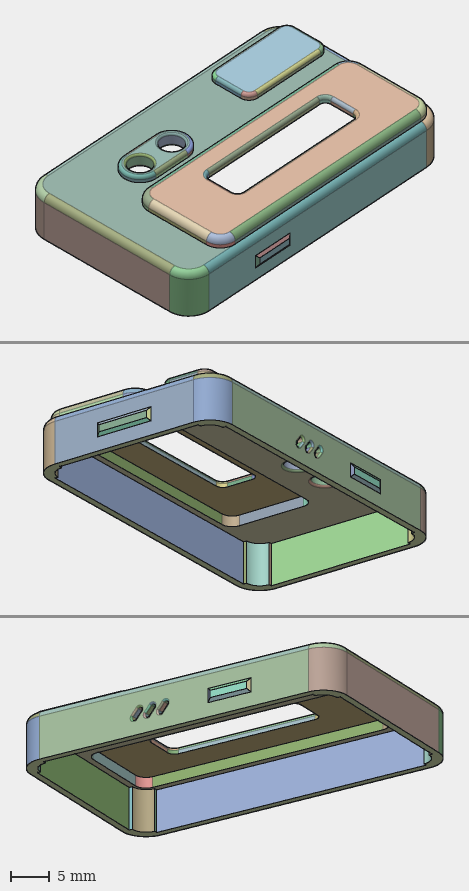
import cadquery as cq

body_width = 29.4
body_length = 48.4
body_height = 7.0
body_corner = 3.6
edge_round = 0.95

wall = 1.0
corner_wall = 1.5

panel_width = 15.5
panel_length = 40.45
panel_rise = 1.5
panel_corner = body_corner - edge_round
panel_x = body_width / 2 - edge_round - panel_width / 2
panel_y = body_length / 2 - edge_round - panel_length / 2
window_width = 6.0
window_length = 22.95
window_corner = 1.0
window_x = 5.15
window_y = 3.3

pad_rise = 0.95
small_round = 0.5
pad_width = 7.5
pad_length = 15.0
pad_corner = 1.5
pad_x = -8.8
pad_y = body_length / 2 - edge_round - pad_length / 2
oval_width = 5.7
oval_x = -6.0
oval_y = -8.5
hole_diameter = 3.6
hole_spacing = 6.0
hole_round = 0.3

button_height = 2.0
button_proud = 0.3
button_bevel = 0.5
button_z = 3.0
side_button_length = 6.57
side_button_y = -8.5
end_button_length = 8.55

slot_count = 3
slot_pitch = 2.0
slot_width = 0.7
slot_length = 1.95
slot_angle = 50
slot_round = 0.25
slots_y = 3.7

roof_underside = body_height - wall
panel_top = body_height + panel_rise
pad_top = body_height + pad_rise


def rounded_block(width, length, height, corner):
    """Block with rounded vertical corners, standing on Z = 0."""
    block = cq.Workplane("XY").box(width, length, height, centered=(True, True, False))
    return block.edges("|Z").fillet(corner)


def round_top(solid, radius):
    return solid.faces(">Z").edges().fillet(radius)


def edges_near(point, spread_x, spread_y, spread_z):
    """Selector for edges wholly inside a box around a point."""
    margin = 0.05
    halves = [spread / 2 + margin for spread in (spread_x, spread_y, spread_z)]
    low = tuple(p - h for p, h in zip(point, halves))
    high = tuple(p + h for p, h in zip(point, halves))
    return cq.selectors.BoxSelector(low, high, boundingbox=True)


def make_cavity():
    """Inside space, with recesses between the thick corners and below the panel."""
    corner_x = body_width / 2 - body_corner
    corner_y = body_length / 2 - body_corner
    inner_width = body_width - 2 * wall
    inner_length = body_length - 2 * wall
    core = rounded_block(
        body_width - 2 * corner_wall,
        body_length - 2 * corner_wall,
        roof_underside,
        body_corner - corner_wall,
    )
    across = cq.Workplane("XY").rect(inner_width, 2 * corner_y).extrude(roof_underside)
    along = cq.Workplane("XY").rect(2 * corner_x, inner_length).extrude(roof_underside)
    under_panel = rounded_block(
        panel_width - 2 * wall,
        panel_length - 2 * wall,
        panel_top - wall,
        panel_corner - wall,
    ).translate((panel_x, panel_y, 0))
    return core.union(across).union(along).union(under_panel)


def button(length, turn, x, y):
    """Bevelled button at (x, y), facing -Y before it is turned about Z."""
    bar = (
        cq.Workplane("XZ")
        .rect(length, button_height)
        .workplane(offset=button_proud)
        .rect(length - 2 * button_bevel, button_height - 2 * button_bevel)
        .loft(ruled=True)
    )
    return bar.rotate((0, 0, 0), (0, 0, 1), turn).translate((x, y, button_z))


body = round_top(rounded_block(body_width, body_length, body_height, body_corner), edge_round)
panel = rounded_block(panel_width, panel_length, panel_rise + wall, panel_corner)
panel = round_top(panel, edge_round).translate((panel_x, panel_y, roof_underside))
pad = rounded_block(pad_width, pad_length, pad_rise + wall, pad_corner)
pad = round_top(pad, small_round).translate((pad_x, pad_y, roof_underside))
oval = cq.Workplane("XY").slot2D(hole_spacing + oval_width, oval_width, 90).extrude(pad_rise + wall)
oval = round_top(oval, small_round).translate((oval_x, oval_y, roof_underside))
result = body.union(panel).union(pad).union(oval).cut(make_cavity())

window = rounded_block(window_width, window_length, panel_top, window_corner)
result = result.cut(window.translate((window_x, window_y, 0)))
window_rim = edges_near((window_x, window_y, panel_top), window_width, window_length, 0)
result = result.edges(window_rim).fillet(small_round)

for side in (-1, 1):
    hole_y = oval_y + side * hole_spacing / 2
    hole = cq.Workplane("XY").circle(hole_diameter / 2).extrude(pad_top)
    result = result.cut(hole.translate((oval_x, hole_y, 0)))
    for level in (roof_underside, pad_top):
        hole_rim = edges_near((oval_x, hole_y, level), hole_diameter, hole_diameter, 0)
        result = result.edges(hole_rim).fillet(hole_round)

outer_x = body_width / 2
for i in range(slot_count):
    slot_y = slots_y + (i - (slot_count - 1) / 2) * slot_pitch
    slot = (
        cq.Workplane("YZ", origin=(-outer_x, slot_y, button_z))
        .slot2D(slot_length, slot_width, 180 - slot_angle)
        .extrude(corner_wall)
    )
    slot_rim = edges_near((-outer_x, slot_y, button_z), 0, slot_length, slot_length)
    result = result.cut(slot).edges(slot_rim).fillet(slot_round)

result = result.union(button(side_button_length, -90, -outer_x, side_button_y))
result = result.union(button(side_button_length, 90, outer_x, side_button_y))
result = result.union(button(end_button_length, 180, 0, body_length / 2))